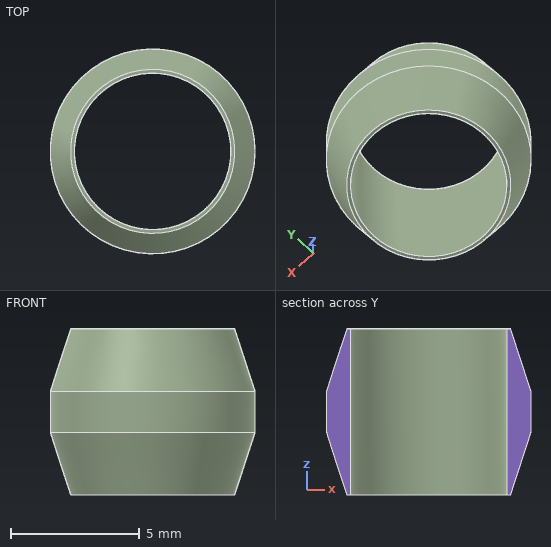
import cadquery as cq

band_diameter = 8.0
end_diameter = 6.4
bore_diameter = 6.1
height = 6.5
band_height = 1.6

band_radius = band_diameter / 2
end_radius = end_diameter / 2
bore_radius = bore_diameter / 2
band_bottom = (height - band_height) / 2
band_top = band_bottom + band_height

half_section = [
    (bore_radius, 0),
    (end_radius, 0),
    (band_radius, band_bottom),
    (band_radius, band_top),
    (end_radius, height),
    (bore_radius, height),
]

result = (
    cq.Workplane("XZ")
    .polyline(half_section)
    .close()
    .revolve(360, (0, 0, 0), (0, 1, 0))
)